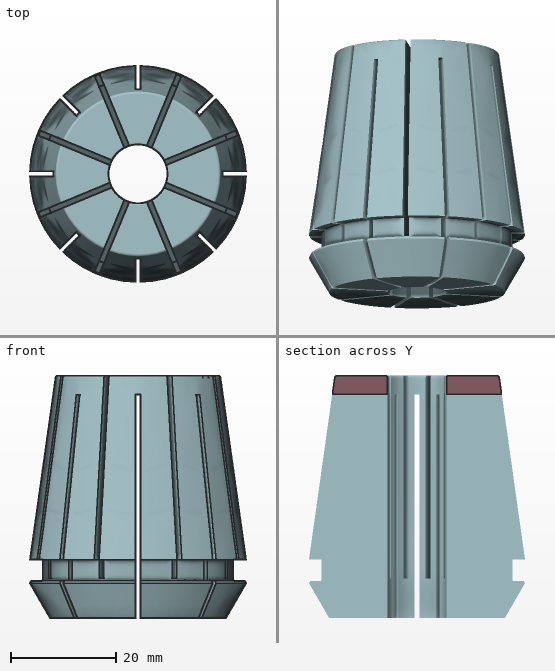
import cadquery as cq
import math

height = 46.0
max_diameter = 41.0
bore_diameter = 11.15
bore_rounding = 0.4

taper_angle = 8.0
taper_bottom = 11.1
nose_rounding = 0.5

groove_diameter = 36.15
flange_top = 7.1
flange_angle = 30.0
flange_chamfer = 0.5
groove_root_rounding = 0.2
base_diameter = 33.3

slots_per_end = 8
base_slot_width = 0.9
base_slot_top = 42.4
nose_slot_width = 1.0
nose_slot_bottom = 7.55

bore_radius = bore_diameter / 2
groove_radius = groove_diameter / 2
base_radius = base_diameter / 2
taper_radius = max_diameter / 2

nose_radius = taper_radius - (height - taper_bottom) * math.tan(math.radians(taper_angle))
flange_radius = base_radius + flange_top * math.tan(math.radians(flange_angle))

innermost = 0
outermost = -1


def circle_at(body, z, rank):
    """Circular edge of the body at a height: rank counts from the axis outwards."""
    reach = max_diameter
    margin = 0.005
    level = cq.selectors.BoxSelector((-reach, -reach, z - margin), (reach, reach, z + margin))
    return body.edges("%CIRCLE").edges(level).edges(cq.selectors.RadiusNthSelector(rank))


def collet_body():
    """Revolve the profile with its bore, then soften the nose, bore mouth and flange."""
    profile = [
        (bore_radius, 0),
        (base_radius, 0),
        (flange_radius, flange_top),
        (groove_radius, flange_top),
        (groove_radius, taper_bottom),
        (taper_radius, taper_bottom),
        (nose_radius, height),
        (bore_radius, height),
    ]
    body = cq.Workplane("XZ").polyline(profile).close().revolve(360, (0, 0, 0), (0, 1, 0))
    body = circle_at(body, height, outermost).fillet(nose_rounding)
    body = circle_at(body, height, innermost).fillet(bore_rounding)
    body = circle_at(body, flange_top, outermost).chamfer(flange_chamfer)
    return circle_at(body, flange_top, innermost).fillet(groove_root_rounding)


def radial_slots(bottom, top, width, first_angle):
    """Evenly spaced cutters that run outward from the axis between two heights."""
    blade = cq.Workplane("XY").box(max_diameter, width, top - bottom, centered=(False, True, False))
    blade = blade.translate((0, 0, bottom))
    spacing = 360 / slots_per_end
    cutters = cq.Workplane("XY")
    for index in range(slots_per_end):
        angle = first_angle + index * spacing
        cutters = cutters.add(blade.rotate((0, 0, 0), (0, 0, 1), angle))
    return cutters.combine()


half_spacing = 180 / slots_per_end
base_slots = radial_slots(0, base_slot_top, base_slot_width, 0)
nose_slots = radial_slots(nose_slot_bottom, height, nose_slot_width, half_spacing)

result = collet_body().cut(base_slots).cut(nose_slots)